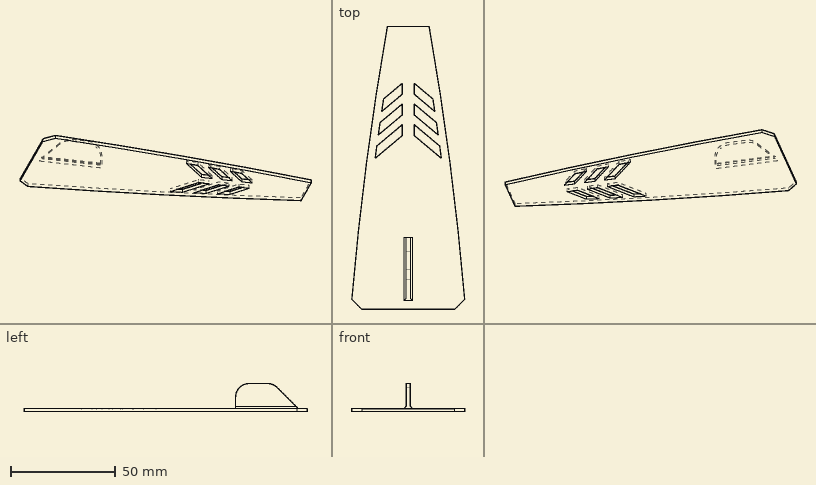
import cadquery as cq
import math

length = 136.0
width = 54.3
thickness = 1.6
tip_width = 20.1
corner_cut = 5.0
side_bulge = 1.5
edge_bevel = 0.4

window_rows = 3
window_pitch = 9.9
window_width = 4.0
window_angle = 40.0
window_peak_y = 40.5
spine_width = 6.0
window_margin = 4.0

total_height = 13.6
fin_length = 30.0
fin_thickness = 2.0
fin_back_y = -33.5
fin_round = 6.7
fin_slope = 45.0
foot_size = 1.0

fin_height = total_height - thickness


def blade_outline():
    """Closed outline of the plate, centred on the origin."""
    half_length = length / 2
    half_width = width / 2
    half_tip = tip_width / 2
    shoulder_y = -half_length + corner_cut
    middle_x = (half_width + half_tip) / 2 + side_bulge
    middle_y = (shoulder_y + half_length) / 2
    return (
        cq.Workplane("XY")
        .moveTo(-half_width + corner_cut, -half_length)
        .lineTo(half_width - corner_cut, -half_length)
        .lineTo(half_width, shoulder_y)
        .threePointArc((middle_x, middle_y), (half_tip, half_length))
        .lineTo(-half_tip, half_length)
        .threePointArc((-middle_x, middle_y), (-half_width, shoulder_y))
        .close()
    )


def chevron_windows():
    """Rows of slanted bars, trimmed to follow the sides of the plate."""
    inner_x = spine_width / 2
    outer_x = width / 2
    angle = math.radians(window_angle)
    drop = (outer_x - inner_x) * math.tan(angle)
    height = window_width / math.cos(angle)
    bars = cq.Workplane("XY")
    for row in range(window_rows):
        peak_y = window_peak_y - row * window_pitch
        for side in (-1, 1):
            bar = cq.Workplane("XY").polyline([
                (side * inner_x, peak_y),
                (side * outer_x, peak_y - drop),
                (side * outer_x, peak_y - drop - height),
                (side * inner_x, peak_y - height),
            ]).close().extrude(thickness)
            bars = bars.add(bar)
    inset_blade = blade_outline().offset2D(-window_margin).extrude(thickness)
    return inset_blade.intersect(bars.combine())


def fin():
    """Upright fin with a sloped front, rounded top and flared foot."""
    toe_y = fin_back_y - fin_length
    slope_run = fin_height / math.tan(math.radians(fin_slope))
    half_thickness = fin_thickness / 2
    half_foot = half_thickness + foot_size
    foot_top = thickness + foot_size

    profile = (
        cq.Workplane("YZ")
        .polyline([
            (toe_y, thickness),
            (fin_back_y, thickness),
            (fin_back_y, total_height),
            (toe_y + slope_run, total_height),
        ])
        .close()
        .extrude(half_foot, both=True)
        .faces(">Z").edges("|X").fillet(fin_round)
    )
    section = (
        cq.Workplane("XZ", origin=(0, fin_back_y, 0))
        .moveTo(-half_foot, thickness)
        .lineTo(half_foot, thickness)
        .lineTo(half_thickness, foot_top)
        .lineTo(half_thickness, total_height)
        .lineTo(-half_thickness, total_height)
        .lineTo(-half_thickness, foot_top)
        .close()
        .extrude(fin_length)
    )
    return section.intersect(profile)


blade = blade_outline().extrude(thickness)
blade = blade.faces("<Y").edges(">Z").chamfer(edge_bevel)
plate = blade.cut(chevron_windows())
result = plate.union(fin())